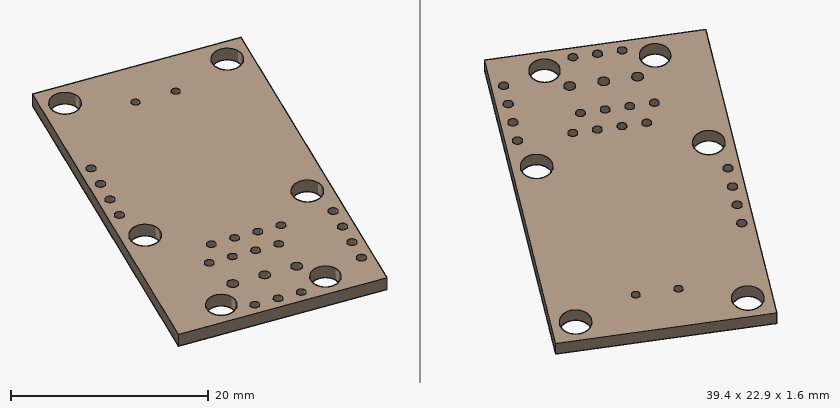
import cadquery as cq

length = 39.37
length_in_pitches = 15.5
width_in_pitches = 9
thickness = 1.6
pitch = length / length_in_pitches
width = width_in_pitches * pitch
mid_y = width / 2

mounting_diameter = 3.3
peg_diameter = 3.2
terminal_diameter = 1.2
header_diameter = 1.02
staggered_diameter = 1.0
side_diameter = 1.0
lead_diameter = 0.9

peg_offset = 5.7
terminal_spacing = 3.5
terminal_shift = 0.08
terminal_mid_y = mid_y + terminal_shift
lead_spacing = 4.4

mounting_columns = (pitch, 9.5 * pitch)
peg_x = length - pitch
lower_header_x = 5 * pitch
upper_header_x = 11 * pitch
inner_staggered_x = upper_header_x
outer_staggered_x = inner_staggered_x + pitch
terminal_x = length - 2 * pitch
side_x = length - pitch / 2
lead_x = 2 * pitch

stagger = pitch / 4

peg_count = 2
header_count = 4
side_count = 3
terminal_count = 3
lead_count = 2


def row_along_x(first_x, y, count):
    """Points one pitch apart, running toward +X."""
    return [(first_x + i * pitch, y) for i in range(count)]


def column_along_y(x, middle_y, count, spacing):
    """Evenly spaced points centred on middle_y."""
    first_y = middle_y - (count - 1) * spacing / 2
    return [(x, first_y + i * spacing) for i in range(count)]


def drill(board, points, diameter):
    """Cut through holes at the given points."""
    holes = (
        cq.Workplane("XY")
        .pushPoints(points)
        .circle(diameter / 2)
        .extrude(thickness)
    )
    return board.cut(holes)


result = cq.Workplane("XY").box(length, width, thickness, centered=False)

mounting_points = [
    (x, y)
    for x in mounting_columns
    for y in (pitch, width - pitch)
]
result = drill(result, mounting_points, mounting_diameter)

peg_points = column_along_y(peg_x, mid_y, peg_count, 2 * peg_offset)
result = drill(result, peg_points, peg_diameter)

header_points = row_along_x(lower_header_x, pitch / 2, header_count)
header_points += row_along_x(upper_header_x, width - pitch / 2, header_count)
result = drill(result, header_points, header_diameter)

staggered_points = column_along_y(inner_staggered_x, mid_y + stagger, header_count, pitch)
staggered_points += column_along_y(outer_staggered_x, mid_y - stagger, header_count, pitch)
result = drill(result, staggered_points, staggered_diameter)

terminal_points = column_along_y(terminal_x, terminal_mid_y, terminal_count, terminal_spacing)
result = drill(result, terminal_points, terminal_diameter)

side_points = column_along_y(side_x, mid_y, side_count, pitch)
result = drill(result, side_points, side_diameter)

lead_points = column_along_y(lead_x, mid_y, lead_count, lead_spacing)
result = drill(result, lead_points, lead_diameter)